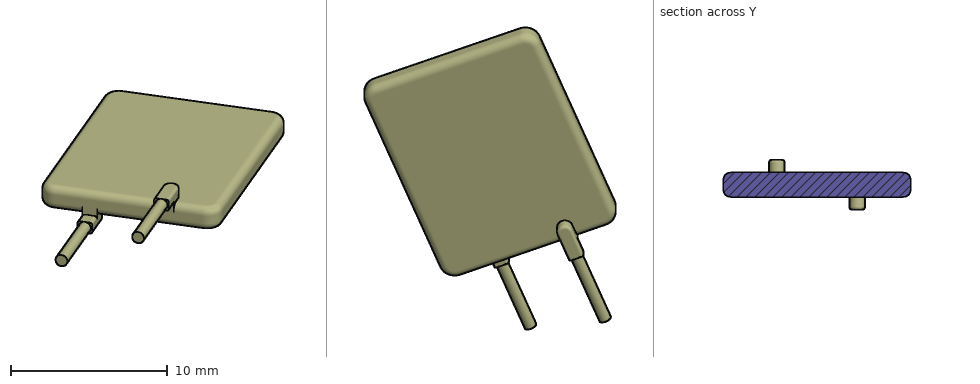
import cadquery as cq


overall_length = 21.0
body_width = 12.0
body_length = 15.0
body_thickness = 1.6
corner_radius = 1.0
body_edge_fillet = 0.5

wire_diameter = 0.8
lead_offset = 2.56
collar_width = 1.0
collar_edge_fillet = 0.19
collar_inside = 1.5
collar_outside = 1.0

half_thickness = body_thickness / 2
lead_top = half_thickness + wire_diameter
wire_length = overall_length - body_length - collar_outside
end_radius = collar_width / 2


def make_body():
    return (
        cq.Workplane("XY")
        .box(body_width, body_length, body_thickness, centered=(True, False, True))
        .edges("|Z")
        .fillet(corner_radius)
        .faces("<Z or >Z")
        .edges()
        .fillet(body_edge_fillet)
    )


def make_collar():
    """Round-ended collar over the body, with a web down into it and a nose in front."""
    straight_end = collar_inside - end_radius
    block = (
        cq.Workplane("XY")
        .moveTo(-end_radius, -collar_outside)
        .lineTo(end_radius, -collar_outside)
        .lineTo(end_radius, straight_end)
        .threePointArc((0, collar_inside), (-end_radius, straight_end))
        .close()
        .extrude(lead_top)
    )
    undercut = cq.Workplane("XY").box(
        collar_width, collar_outside, half_thickness, centered=(True, False, False)
    ).translate((0, -collar_outside, 0))
    collar = block.cut(undercut)

    collar = collar.faces(">Z").edges("not <Y").fillet(collar_edge_fillet)
    nose_underside = cq.selectors.BoxSelector(
        (-collar_width, -collar_outside, half_thickness - collar_edge_fillet / 2),
        (collar_width, 0, half_thickness + collar_edge_fillet / 2),
    )
    return collar.edges("|Y").edges(nose_underside).fillet(collar_edge_fillet)


def make_upper_lead():
    wire = (
        cq.Workplane("XZ", origin=(0, -collar_outside, half_thickness + wire_diameter / 2))
        .circle(wire_diameter / 2)
        .extrude(wire_length)
    )
    return make_collar().union(wire).translate((lead_offset, 0, 0))


upper_lead = make_upper_lead()
lower_lead = upper_lead.rotate((0, 0, 0), (0, 1, 0), 180)

result = make_body().union(upper_lead).union(lower_lead)